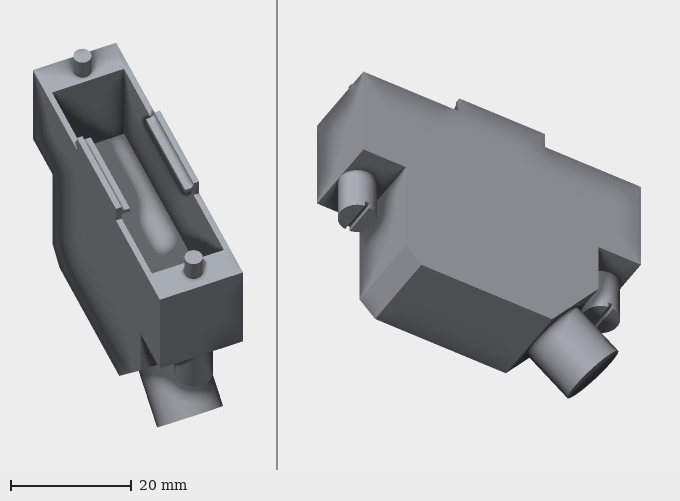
import cadquery as cq
import math

width = 53.5
depth = 15.0
upper_height = 18.0
lower_height = 21.1
lower_width = 37.15
corner_chamfer = 3.0
slope_width = 8.95
slope_height = 11.45
top_z = lower_height + upper_height

wall = 1.0
cavity_width = 42.2
cavity_depth = upper_height - wall

tab_width = 16.55
tab_height = 3.0
ledge_reach = 2.5
ledge_bottom = 1.2
ledge_top = 2.0
ledge_fillet = 0.8

head_diameter = 6.5
head_height = 8.05
pin_diameter = 3.0
pin_height = 3.85
slot_width = 0.85
slot_depth = 1.0
screw_spacing = 46.95

outlet_diameter = 11.5
outlet_length = 9.95


def make_housing():
    upper = cq.Workplane("XY").box(width, depth, upper_height, centered=(True, True, False))
    upper = upper.translate((0, 0, lower_height))
    half = lower_width / 2
    lower = (
        cq.Workplane("XZ")
        .moveTo(-half, lower_height)
        .lineTo(-half, corner_chamfer)
        .lineTo(-half + corner_chamfer, 0)
        .lineTo(half - slope_width, 0)
        .lineTo(half, slope_height)
        .lineTo(half, lower_height)
        .close()
        .extrude(depth / 2, both=True)
    )
    cavity = (
        cq.Workplane("XY")
        .workplane(offset=top_z - cavity_depth)
        .rect(cavity_width, depth - 2 * wall)
        .extrude(cavity_depth)
    )
    return upper.union(lower).cut(cavity)


def make_front_tab():
    """Upright tab with an inward ledge, blended by a concave fillet."""
    outer = -depth / 2
    inner = outer + wall
    tip = outer + ledge_reach
    bend = ledge_fillet * (1 - math.sqrt(0.5))
    return (
        cq.Workplane("YZ", origin=(-tab_width / 2, 0, top_z))
        .moveTo(outer, 0)
        .lineTo(inner, 0)
        .lineTo(inner, ledge_bottom)
        .lineTo(tip, ledge_bottom)
        .lineTo(tip, ledge_top)
        .lineTo(inner + ledge_fillet, ledge_top)
        .threePointArc((inner + bend, ledge_top + bend), (inner, ledge_top + ledge_fillet))
        .lineTo(inner, tab_height)
        .lineTo(outer, tab_height)
        .close()
        .extrude(tab_width)
    )


def make_screw(x):
    head_bottom = lower_height - head_height
    head = cq.Workplane("XY", origin=(x, 0, head_bottom)).circle(head_diameter / 2).extrude(head_height)
    slot = (
        cq.Workplane("XY", origin=(x, 0, head_bottom))
        .rect(slot_width, head_diameter)
        .extrude(slot_depth)
    )
    pin = cq.Workplane("XY", origin=(x, 0, top_z)).circle(pin_diameter / 2).extrude(pin_height)
    return head.cut(slot), pin


def make_outlet():
    slope_center = ((lower_width - slope_width) / 2, 0, slope_height / 2)
    outward = (slope_height, 0, -slope_width)
    plane = cq.Plane(origin=slope_center, xDir=(0, 1, 0), normal=outward)
    return cq.Workplane(plane).circle(outlet_diameter / 2).extrude(outlet_length)


front_tab = make_front_tab()
result = make_housing().union(front_tab).union(front_tab.mirror("XZ")).union(make_outlet())
for side in (-1, 1):
    for piece in make_screw(side * screw_spacing / 2):
        result = result.union(piece)